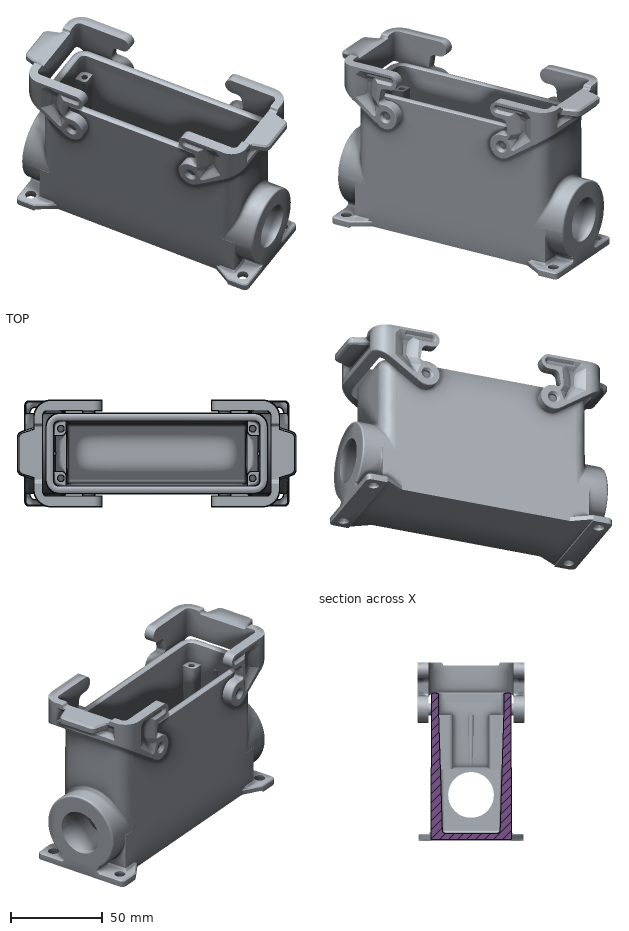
import cadquery as cq
import math

BODY_X = 120.3
BODY_Y = 43.5
BODY_CORNER = 7.3
BODY_BOTTOM = 0.9
RIM_Z = 80.9
CROWN = 0.6
BAND_Z = 75.6
DRAFT = 0.3
WALL = 4.0
FLOOR_Z = 4.5
CAVITY_DRAFT = 2.3
FLOOR_FILLET = 1.4
RIM_BASE_Z = RIM_Z - CROWN

CAVITY_X = BODY_X / 2 - WALL
CAVITY_Y = BODY_Y / 2 - WALL
CAVITY_CORNER = BODY_CORNER - WALL
LEDGE_X = 6.8
LEDGE_Z = 40.9
LEDGE_FALL = 1.8
WELL_EXTRA = 0.9
POST_Y = 8.0
POST_CORNER = 2.3
POST_Z = 68.6
SCREW_X = 52.1
SCREW_Y = 13.5
SCREW_RADIUS = 1.8
SCREW_DEPTH = 18.2
KEY_RADIUS = 1.4

ENTRY_Z = 25.1
ENTRY_FACE_X = 71.8
ENTRY_RADIUS = 21.8
ENTRY_BORE = 12.4
ENTRY_EDGE = 1.0
ENTRY_ROOT = 1.2
NECK_ROUND = 1.4

FOOT_Y = 28.6
FOOT_Z = 4.0
FOOT_CORNER = 2.5
FOOT_EDGE = 0.6
FOOT_ROOT = 1.0
FOOT_ROOT_X = 51.5
FOOT_ROOT_SLOPE = 45
FOOT_INNER_X = 48.8
FOOT_HOLE_X = 65.9
FOOT_HOLE_Y = 22.1
FOOT_HOLE_RADIUS = 3.0

LEVER_X = 66.8
LEVER_Y = 58.0 / 2
LEVER_TOP = 97.3
LEVER_END_WALL = 4.7
LEVER_LEG = 5.9
LEVER_CORNER = 9.1
LEVER_INNER_CORNER = 2.7
LEVER_SIDE_BOTTOM = 83.3
LEVER_EDGE = 0.3
PIVOT_X = 37.0
PIVOT_Z = 71.7
PIVOT_ARM = 7.3
PIVOT_PIN = 3.3
PIVOT_SINK = 3.5
PIVOT_SINK_FLOOR = 2.3
PIVOT_SINK_DEPTH = 1.2
PIVOT_RECESS = 2.4
HOOK_X = 34.2
HOOK_RADIUS = 4.4

THROAT_X = 37.3
THROAT_MIDDLE = (-39.4, 87.4)
THROAT_SIDE = (-40.3, 85.1)
HEEL_START = (-41.0, 80.3)
HEEL_MIDDLE = (-40.6, 79.4)
HEEL_END_X = 39.5

POCKET_DEPTH = 3.3
POCKET_WALL_DEPTH = 2.9
POCKET_MOUTH = [(-55.8, 92.9), (-53.0, 95.7), (-41.5, 95.7), (-42.7, 79.7),
                (-40.8, 76.4), (-43.0, 70.9), (-44.8, 70.9), (-55.8, 79.4)]
POCKET_FOOT = [(-50.8, 90.1), (-49.8, 91.0), (-46.8, 91.0), (-47.5, 81.2),
               (-46.0, 77.5), (-45.3, 75.9), (-45.8, 75.9), (-50.8, 81.2)]
POCKET_CENTER = (-49.1, 84.8)
POCKET_FLOOR_SHARE = 0.6
GROOVE_RADIUS = 2.4
GROOVE_Z = 93.3
GROOVE_DEPTH = 1.5
GROOVE_START_X = 48.5
GROOVE_SLOPE = 45

TAB_TIP_X = 75.8
TAB_TIP_Y = 11.2
TAB_ROOT_Y = 14.1
TAB_TOP = 95.5
TAB_BOTTOM = 90.9
TAB_CORNER = 3.3
TAB_EDGE = 0.9
NOTCH_TOP_Y = 16.7
RECESS_Y = 19.2
RECESS_TOP = 94.5
RECESS_BOTTOM = 86.2
RECESS_DEPTH = 2.3
RECESS_FILLET = 0.8
RECESS_SLOPE = 2.5

CLEAR = 1.5


def rounded_plate(length, width, radius, z):
    """Rounded rectangle lying at height z, ready to extrude."""
    sketch = cq.Sketch().rect(length, width).vertices().fillet(radius)
    return cq.Workplane("XY").workplane(offset=z).placeSketch(sketch)


def both_ends(solid):
    """Solid together with its mirror image at the other end."""
    return solid.union(solid.mirror("YZ"))


def drafted_block(length, width, radius, top_z, bottom_z, growth):
    """Rounded block that grows by the same amount per side from its top to its bottom."""
    height = top_z - bottom_z
    angle = math.degrees(math.atan(growth / height))
    return rounded_plate(length, width, radius, top_z).extrude(-height, taper=-angle)


def rim_crown():
    """Shallow dome swept around the top edge of the walls."""
    path = rounded_plate(BODY_X - WALL, BODY_Y - WALL, BODY_CORNER - WALL / 2, RIM_BASE_Z)
    path = path.extrude(CLEAR).faces("<Z").wires().val()
    half = WALL / 2
    profile = (
        cq.Workplane("YZ")
        .center(-(BODY_Y - WALL) / 2, RIM_BASE_Z)
        .moveTo(-half, -CROWN)
        .lineTo(-half, 0)
        .threePointArc((0, CROWN), (half, 0))
        .lineTo(half, -CROWN)
        .close()
    )
    return profile.sweep(cq.Workplane(obj=path), transition="round")


def drafted_rectangle():
    """Square-cornered block with the same drafted faces as the walls below the band."""
    return (
        cq.Workplane("XY")
        .workplane(offset=BODY_BOTTOM)
        .rect(BODY_X + 2 * DRAFT, BODY_Y + 2 * DRAFT)
        .workplane(offset=BAND_Z - BODY_BOTTOM)
        .rect(BODY_X, BODY_Y)
        .loft(ruled=True)
    )


def outer_shell():
    """Solid outer walls: rounded corners above the entry axis, square corners below it."""
    upper = rounded_plate(BODY_X, BODY_Y, BODY_CORNER, BAND_Z).extrude(RIM_BASE_Z - BAND_Z)
    lower = drafted_block(BODY_X, BODY_Y, BODY_CORNER, BAND_Z, BODY_BOTTOM, DRAFT)
    square_base = drafted_rectangle().intersect(
        cq.Workplane("XY").box(2 * BODY_X, 2 * BODY_Y, ENTRY_Z, centered=(True, True, False)))
    return upper.union(lower).union(square_base)


def entry_drum():
    """Round cable entry standing out of the -X end."""
    length = ENTRY_FACE_X - BODY_X / 2 + BODY_CORNER
    drum = cq.Workplane("YZ").workplane(offset=-ENTRY_FACE_X).center(0, ENTRY_Z)
    return drum.circle(ENTRY_RADIUS).extrude(length).faces("<X").edges().fillet(ENTRY_EDGE)


def walls_with_entries():
    """Outer walls with both entries, filleted where the upper half of an entry meets the walls."""
    walls = outer_shell().union(both_ends(entry_drum()))
    for end in (-1, 1):
        root_region = cq.selectors.BoxSelector(
            (end * (BODY_X / 2 + CLEAR), -BODY_Y, ENTRY_Z + CLEAR),
            (end * (BODY_X / 2 - BODY_CORNER), BODY_Y, ENTRY_Z + ENTRY_RADIUS + CLEAR))
        walls = walls.edges(root_region).edges("not %LINE").fillet(ENTRY_ROOT)
    return walls


def entry_neck():
    """Neck from the entry down to the foot plate, with a rounded notch on either side."""
    outside = ENTRY_FACE_X - BODY_X / 2
    notch_z = FOOT_Z + NECK_ROUND
    notch_y = math.sqrt((ENTRY_RADIUS + NECK_ROUND) ** 2 - (ENTRY_Z - notch_z) ** 2)
    neck = cq.Workplane("XY").box(outside, 2 * notch_y, ENTRY_Z, centered=(False, True, False))
    neck = neck.translate((-ENTRY_FACE_X, 0, 0))
    notches = (
        cq.Workplane("YZ")
        .workplane(offset=-ENTRY_FACE_X)
        .pushPoints([(-notch_y, notch_z), (notch_y, notch_z)])
        .circle(NECK_ROUND)
        .extrude(outside)
    )
    return neck.cut(notches)


def entry_root():
    """Concave fillet below the middle of the entry, ending flush with the body sides."""
    wall_x = -BODY_X / 2
    bend = ENTRY_ROOT * (1 - math.sqrt(0.5))
    ring = (
        cq.Workplane("XY")
        .moveTo(wall_x - ENTRY_ROOT, ENTRY_RADIUS)
        .threePointArc((wall_x - bend, ENTRY_RADIUS + bend), (wall_x, ENTRY_RADIUS + ENTRY_ROOT))
        .lineTo(wall_x + CLEAR, ENTRY_RADIUS + ENTRY_ROOT)
        .lineTo(wall_x + CLEAR, ENTRY_RADIUS - CLEAR)
        .lineTo(wall_x - ENTRY_ROOT, ENTRY_RADIUS - CLEAR)
        .close()
        .revolve(360, (0, 0, 0), (1, 0, 0))
        .translate((0, 0, ENTRY_Z))
    )
    limits = cq.Workplane("XY").box(2 * ENTRY_FACE_X, BODY_Y, ENTRY_Z - FOOT_Z, centered=(True, True, False))
    return ring.intersect(limits.translate((0, 0, FOOT_Z)))


def feet():
    """Foot plate under the -X end with a tapering gusset beside each body side."""
    body_end = BODY_X / 2
    plate = (
        cq.Workplane("XY")
        .rect(2 * ENTRY_FACE_X, 2 * FOOT_Y)
        .extrude(FOOT_Z)
        .edges("|Z")
        .fillet(FOOT_CORNER)
        .intersect(cq.Workplane("XY").box(ENTRY_FACE_X - body_end, 3 * FOOT_Y, 3 * FOOT_Z)
                   .translate((-(ENTRY_FACE_X + body_end) / 2, 0, 0)))
    )
    gusset = (
        cq.Workplane("XY")
        .workplane(offset=BODY_BOTTOM)
        .polyline([(-body_end, -FOOT_Y), (-body_end, FOOT_Y), (-FOOT_INNER_X, BODY_Y / 2),
                   (-FOOT_INNER_X, -BODY_Y / 2)])
        .close()
        .extrude(FOOT_Z - BODY_BOTTOM)
    )
    foot = plate.union(gusset).faces(">Z").edges().chamfer(FOOT_EDGE)
    collar_x = body_end + DRAFT + FOOT_ROOT
    collar = (
        cq.Workplane("XY")
        .workplane(offset=FOOT_Z)
        .rect(2 * collar_x, BODY_Y + 2 * DRAFT + 2 * FOOT_ROOT)
        .extrude(FOOT_ROOT, taper=FOOT_ROOT_SLOPE)
        .intersect(cq.Workplane("XY").box(collar_x, 2 * BODY_Y, BAND_Z)
                   .translate((-FOOT_ROOT_X - collar_x / 2, 0, 0)))
    )
    return foot.union(collar)


def cavity_space():
    """Hollow of the housing: a full-length upper part above the ledges and a shorter well below."""
    mouth = rounded_plate(2 * CAVITY_X, 2 * CAVITY_Y, CAVITY_CORNER, BAND_Z).extrude(RIM_Z - BAND_Z)
    ledge_end_x = CAVITY_X - LEDGE_X
    above_ledges = (
        cq.Workplane("XZ")
        .polyline([(-CAVITY_X, LEDGE_Z), (-ledge_end_x, LEDGE_Z - LEDGE_FALL),
                   (ledge_end_x, LEDGE_Z - LEDGE_FALL), (CAVITY_X, LEDGE_Z),
                   (CAVITY_X, BAND_Z), (-CAVITY_X, BAND_Z)])
        .close()
        .extrude(BODY_Y, both=True)
    )
    upper = drafted_block(2 * CAVITY_X, 2 * CAVITY_Y, CAVITY_CORNER, BAND_Z, FLOOR_Z, -CAVITY_DRAFT)
    well_x = ledge_end_x + WELL_EXTRA
    well = drafted_block(2 * well_x, 2 * CAVITY_Y, CAVITY_CORNER, BAND_Z, FLOOR_Z, -CAVITY_DRAFT)
    well = well.faces("<Z").edges().fillet(FLOOR_FILLET)
    return mouth.union(upper.intersect(above_ledges)).union(well)


def end_inserts():
    """Screw posts and key rib at the -X end of the cavity."""
    depth = LEDGE_X + CLEAR
    start = -CAVITY_X - CLEAR
    bottom = LEDGE_Z - LEDGE_FALL - CLEAR
    height = POST_Z - bottom
    inserts = cq.Workplane("XY").workplane(offset=bottom).center(-CAVITY_X, 0)
    inserts = inserts.circle(KEY_RADIUS).extrude(height)
    for side in (-1, 1):
        post = cq.Workplane("XY").box(depth, POST_Y + CLEAR, height,
                                      centered=(False, True, False))
        inner_edge = ">X and >Y" if side < 0 else ">X and <Y"
        post = post.edges("|Z").edges(inner_edge).fillet(POST_CORNER)
        middle_y = side * (CAVITY_Y + CLEAR - (POST_Y + CLEAR) / 2)
        inserts = inserts.union(post.translate((start, middle_y, bottom)))
    screw_holes = (
        cq.Workplane("XY")
        .workplane(offset=POST_Z)
        .pushPoints([(-SCREW_X, -SCREW_Y), (-SCREW_X, SCREW_Y)])
        .circle(SCREW_RADIUS)
        .extrude(-SCREW_DEPTH)
    )
    return inserts.cut(screw_holes)


def lever_profile():
    """Side outline of a lever leg with its hook and pivot eye."""
    eye_x, eye_z = -PIVOT_X, PIVOT_Z
    reach_x = eye_x + LEVER_X
    reach_z = LEVER_SIDE_BOTTOM - eye_z
    lean = math.pi + math.acos(PIVOT_ARM / math.hypot(reach_x, reach_z)) - math.atan2(reach_z, reach_x)
    tangent = (eye_x + PIVOT_ARM * math.cos(lean), eye_z + PIVOT_ARM * math.sin(lean))
    hook_z = LEVER_TOP - HOOK_RADIUS
    throat_top = (-THROAT_X, hook_z - HOOK_RADIUS)
    heel_end = (-HEEL_END_X, eye_z + PIVOT_ARM)
    arc_middle = (lean + 1.5 * math.pi) / 2
    return (
        cq.Workplane("XZ")
        .moveTo(-LEVER_X, LEVER_TOP)
        .lineTo(-HOOK_X, LEVER_TOP)
        .threePointArc((-HOOK_X + HOOK_RADIUS, hook_z), (-HOOK_X, hook_z - HOOK_RADIUS))
        .lineTo(*throat_top)
        .threePointArc(THROAT_MIDDLE, THROAT_SIDE)
        .lineTo(*HEEL_START)
        .threePointArc(HEEL_MIDDLE, heel_end)
        .lineTo(eye_x, eye_z + PIVOT_ARM)
        .threePointArc((eye_x + PIVOT_ARM, eye_z), (eye_x, eye_z - PIVOT_ARM))
        .threePointArc(
            (eye_x + PIVOT_ARM * math.cos(arc_middle), eye_z + PIVOT_ARM * math.sin(arc_middle)),
            tangent)
        .lineTo(-LEVER_X, LEVER_SIDE_BOTTOM)
        .close()
    )


def side_pocket():
    """Sloping recess of the leg on the -Y side, with a groove into the hook."""
    center_x, center_z = POCKET_CENTER
    floor = [(center_x + POCKET_FLOOR_SHARE * (x - center_x), center_z + POCKET_FLOOR_SHARE * (z - center_z))
             for x, z in POCKET_FOOT]
    pocket = (
        cq.Workplane("XZ", origin=(0, -LEVER_Y, 0))
        .polyline(POCKET_MOUTH)
        .close()
        .workplane(offset=-POCKET_WALL_DEPTH)
        .polyline(POCKET_FOOT)
        .close()
        .workplane(offset=POCKET_WALL_DEPTH - POCKET_DEPTH)
        .polyline(floor)
        .close()
        .loft(ruled=True)
    )
    groove_length = GROOVE_START_X - HOOK_X
    groove = (
        cq.Workplane("XZ", origin=(0, -LEVER_Y, 0))
        .center(-HOOK_X - groove_length / 2, GROOVE_Z)
        .slot2D(groove_length + 2 * GROOVE_RADIUS, 2 * GROOVE_RADIUS)
        .extrude(-GROOVE_DEPTH, taper=GROOVE_SLOPE)
    )
    return pocket.union(groove)


def tab():
    """Finger tab, reaching through the lever end wall."""
    root_x = LEVER_X - LEVER_END_WALL
    plan = [(-root_x, -TAB_ROOT_Y), (-LEVER_X, -TAB_ROOT_Y), (-TAB_TIP_X, -TAB_TIP_Y),
            (-TAB_TIP_X, TAB_TIP_Y), (-LEVER_X, TAB_ROOT_Y), (-root_x, TAB_ROOT_Y)]
    plate = cq.Workplane("XY").workplane(offset=TAB_BOTTOM).polyline(plan).close()
    plate = plate.extrude(TAB_TOP - TAB_BOTTOM)
    plate = plate.edges("|Z").edges("<X").fillet(TAB_CORNER)
    return plate.faces("<Z or >Z").edges("not >X").chamfer(TAB_EDGE)


def tab_recess():
    """Shallow sloping recess in the outer face of the lever end wall."""
    height = RECESS_TOP - RECESS_BOTTOM
    middle_z = (RECESS_TOP + RECESS_BOTTOM) / 2
    return (
        cq.Workplane("YZ", origin=(-LEVER_X, 0, middle_z))
        .rect(2 * RECESS_Y, height)
        .workplane(offset=RECESS_DEPTH)
        .rect(2 * (RECESS_Y - RECESS_SLOPE), height - 2 * RECESS_SLOPE)
        .loft(ruled=True)
        .faces(">X")
        .edges()
        .fillet(RECESS_FILLET)
    )


def lever():
    """Locking lever at the -X end, including its pivot pins."""
    inner_x = LEVER_X - LEVER_END_WALL
    inner_y = LEVER_Y - LEVER_LEG
    bow = rounded_plate(2 * LEVER_X, 2 * LEVER_Y, LEVER_CORNER, 0).extrude(LEVER_TOP + CLEAR)
    gap = rounded_plate(2 * inner_x, 2 * inner_y, LEVER_INNER_CORNER, -CLEAR).extrude(LEVER_TOP + 3 * CLEAR)
    arm = bow.cut(gap).intersect(lever_profile().extrude(LEVER_Y + CLEAR, both=True))
    eye_region = cq.selectors.BoxSelector((-LEVER_X, -LEVER_Y - CLEAR, 0), (0, LEVER_Y + CLEAR, PIVOT_Z))
    arm = arm.faces("<Y or >Y").edges(eye_region).chamfer(LEVER_EDGE)

    middle_y = (NOTCH_TOP_Y + TAB_ROOT_Y) / 2
    middle_z = (LEVER_TOP + TAB_TOP) / 2
    notch = (
        cq.Workplane("YZ", origin=(-LEVER_X - CLEAR, 0, 0))
        .moveTo(-NOTCH_TOP_Y - CLEAR, LEVER_TOP)
        .lineTo(-NOTCH_TOP_Y, LEVER_TOP)
        .tangentArcPoint((-middle_y, middle_z), relative=False)
        .tangentArcPoint((-TAB_ROOT_Y, TAB_TOP), relative=False)
        .lineTo(TAB_ROOT_Y, TAB_TOP)
        .tangentArcPoint((middle_y, middle_z), relative=False)
        .tangentArcPoint((NOTCH_TOP_Y, LEVER_TOP), relative=False)
        .close()
        .extrude(LEVER_END_WALL + 2 * CLEAR)
    )
    arm = arm.cut(notch).cut(tab_recess()).union(tab())

    for plane_y, direction in ((-LEVER_Y, 1), (LEVER_Y, -1)):
        pin = cq.Solid.makeCylinder(PIVOT_PIN, LEVER_LEG - PIVOT_RECESS + 2 * CLEAR,
                                    cq.Vector(-PIVOT_X, plane_y + direction * PIVOT_RECESS, PIVOT_Z),
                                    cq.Vector(0, direction, 0))
        arm = arm.union(cq.Workplane(obj=pin))
        sink = cq.Solid.makeCone(PIVOT_SINK, PIVOT_SINK_FLOOR, PIVOT_SINK_DEPTH,
                                 cq.Vector(-PIVOT_X, plane_y, PIVOT_Z), cq.Vector(0, direction, 0))
        well = cq.Solid.makeCylinder(PIVOT_SINK_FLOOR, PIVOT_RECESS,
                                     cq.Vector(-PIVOT_X, plane_y, PIVOT_Z), cq.Vector(0, direction, 0))
        arm = arm.cut(cq.Workplane(obj=sink)).cut(cq.Workplane(obj=well))
    pocket = side_pocket()
    return arm.cut(pocket).cut(pocket.mirror("XZ"))


cavity = cavity_space()
bore = cq.Workplane("YZ").center(0, ENTRY_Z).circle(ENTRY_BORE).extrude(ENTRY_FACE_X, both=True)
foot_holes = (
    cq.Workplane("XY")
    .rect(2 * FOOT_HOLE_X, 2 * FOOT_HOLE_Y, forConstruction=True)
    .vertices()
    .circle(FOOT_HOLE_RADIUS)
    .extrude(FOOT_Z)
)

end_details = feet().union(entry_neck()).union(entry_root())
housing = walls_with_entries().union(both_ends(end_details)).cut(foot_holes)
housing = housing.cut(cavity).union(both_ends(end_inserts())).union(rim_crown()).cut(bore)
result = housing.union(both_ends(lever()))